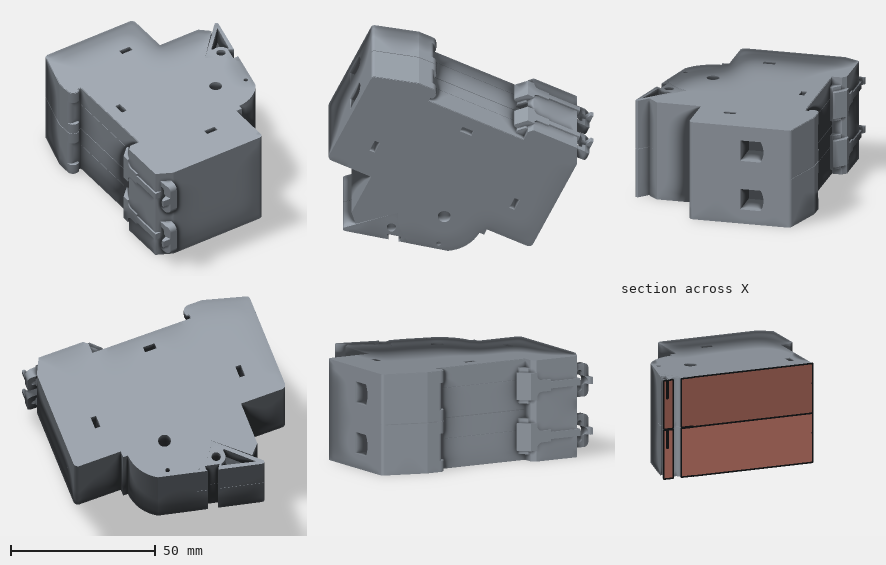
import cadquery as cq
import math

stack_height = 35.6
module_count = 2
module_height = stack_height / module_count
total_depth = 65.05
total_length = 82.2

base_length = 79.0
left_shoulder_y = 41.5
right_shoulder_y = 43.4
shoulder_fillet = 1.65
foot_y = 0.6
foot_slant_start_y = 5.0
foot_slant_end_x = 15.8
left_corner_fillet = 1.15
hook_center_x = 21.0
hook_radius = 2.2
hook_tip_x = hook_center_x + hook_radius
throat_x = 21.9
throat_bottom_y = 4.3
rail_y = 5.5
rail_end_x = 58.2
rail_chamfer = 1.5
right_slant_x = 76.2
right_slant_y = 6.25
rim_step = 0.2
rim_top_y = 5.9

pivot_x, pivot_y = 46.55, 45.1
drum_radius = 13.8
lever_clearance_radius = 16.0
neck_left_x = 16.9
neck_chamfer_y = 57.3
neck_peak = (20.1, 60.85)
drum_step_x = 62.1
drum_step_y = 45.7
drum_top_x = 53.5

lever_left_x = 17.0
lever_flat_end_x = 18.1
lever_heel_y = 64.1
lever_corner_x = 31.5
lever_recess = 0.1
lever_tip_fillet = 0.5
lever_notch_left_x = 33.0
lever_notch_right_x = 36.5
lever_notch_floor_left = (31.8, 59.9)
lever_notch_floor_right = (36.85, 58.8)
lever_notch_lip_y = 60.3
seal_hole_x, seal_hole_y = 31.9, 56.9
seal_boss_radius = 3.2
pocket_tip = (19.65, 63.5)
pocket_top_right = (31.3, 60.6)
pocket_bottom = (28.5, 55.1)
pocket_depth = 6.6

seal_hole_diameter = 3.2
pivot_hole_diameter = 4.4
pin_hole_diameter = 1.6
pin_hole_x, pin_hole_y = 49.4, 55.7
slot_length = 4.3
slot_width = 2.0
side_slot_y = 30.1
side_slot_xs = (12.8, 66.4)
rail_slot_x, rail_slot_y = 39.0, 10.85

terminal_width = 7.5
terminal_top_y = 23.0
terminal_arc_y = 15.8
terminal_bottom_y = 14.7
terminal_depth = 11.5

clip_z = 8.7
clip_head_width = 9.5
clip_tab_width = 12.4
clip_tip_x = 53.7
clip_tab_x = 55.2
clip_sole_x = 57.15
clip_head_end_x = 59.8
clip_tip_low_y, clip_tip_high_y = 3.45, 3.95
clip_back_y = 4.4
clip_top_y = 2.2
stem_root_width = 4.1
stem_root_end_x = 65.3
stem_blend = 1.9
stem_width = 2.5
stem_end_x = 77.2

handle_start_x = 76.65
handle_width = 11.5
handle_corner = 1.9
handle_slope_x = 80.1
handle_slope_y = 3.0
handle_slot_width = 2.0
handle_slot_length = 7.5
handle_hole_diameter = 3.2
handle_tooth_x = 81.3

seam_z = 10.6
seam_size = 0.2
hook_notch_fillet = 1.5


def prism(sketch, z_bottom, height):
    """Extrude a closed XY outline upward from z_bottom."""
    return sketch.close().extrude(height).translate((0, 0, z_bottom))


def block(x_range, y_range, z_range):
    """Axis-aligned box between the given limits."""
    sizes = [high - low for low, high in (x_range, y_range, z_range)]
    return cq.Workplane("XY").box(*sizes, centered=False).translate((x_range[0], y_range[0], z_range[0]))


def round_corner(body, x, y, radius):
    """Fillet the upright edge nearest to (x, y)."""
    corner = cq.selectors.NearestToPointSelector((x, y, module_height / 2))
    return body.edges("|Z").edges(corner).fillet(radius)


def on_circle(radius, angle):
    """Point on a circle around the lever pivot."""
    return (pivot_x + radius * math.cos(angle), pivot_y + radius * math.sin(angle))


def angle_at_x(radius, x):
    """Angle of the upper point of a pivot circle at the given x."""
    return math.acos((x - pivot_x) / radius)


drum_top_angle = angle_at_x(drum_radius, drum_top_x)
drum_top = on_circle(drum_radius, drum_top_angle)
top_slope = (drum_top[1] - total_depth) / (drum_top_x - lever_flat_end_x)


def top_edge(x):
    """Point on the straight sloping edge shared by the lever and the drum."""
    return (x, total_depth + top_slope * (x - lever_flat_end_x))


def lever_arc_top():
    """Angle and point where the lever clearance circle meets the sloping top edge."""
    height_above_pivot = top_edge(pivot_x)[1] - pivot_y
    tilt = math.atan(top_slope)
    normal_distance = height_above_pivot * math.cos(tilt)
    angle = math.pi / 2 + tilt + math.acos(normal_distance / lever_clearance_radius)
    return angle, on_circle(lever_clearance_radius, angle)


lever_top_angle, lever_top_point = lever_arc_top()
lever_corner_angle = angle_at_x(lever_clearance_radius, lever_corner_x)
lever_corner = on_circle(lever_clearance_radius, lever_corner_angle)
lever_arc_middle = on_circle(lever_clearance_radius, (lever_top_angle + lever_corner_angle) / 2)


def make_base():
    """Main block with the sloping foot, the rounded rail hook and the rail face."""
    hook_center_y = foot_y + hook_radius
    hook_end_x = hook_center_x + math.sqrt(hook_radius**2 - (throat_bottom_y - hook_center_y) ** 2)
    outline = (
        cq.Workplane("XY")
        .moveTo(0, left_shoulder_y)
        .lineTo(0, foot_slant_start_y)
        .lineTo(foot_slant_end_x, foot_y)
        .lineTo(hook_center_x, foot_y)
        .threePointArc((hook_tip_x, hook_center_y), (hook_end_x, throat_bottom_y))
        .lineTo(throat_x, throat_bottom_y)
        .lineTo(throat_x, rail_y)
        .lineTo(rail_end_x, rail_y)
        .lineTo(rail_end_x, foot_y + rail_chamfer)
        .lineTo(rail_end_x + rail_chamfer, foot_y)
        .lineTo(right_slant_x, foot_y)
        .lineTo(base_length, right_slant_y)
        .lineTo(base_length, right_shoulder_y)
        .lineTo(drum_step_x, right_shoulder_y)
        .lineTo(drum_step_x, left_shoulder_y)
    )
    base = prism(outline, 0, module_height)
    base = round_corner(base, 0, left_shoulder_y, shoulder_fillet)
    base = round_corner(base, base_length, right_shoulder_y, shoulder_fillet)
    return round_corner(base, 0, foot_slant_start_y, left_corner_fillet)


def step_rim(base):
    """Step back the rail-side edge of both end faces."""
    rim_zone = block((0, rail_end_x), (0, rim_top_y), (0, rim_step))
    inset = base.faces("<Z").wires().toPending().offset2D(-rim_step).extrude(module_height, combine=False)
    rim = base.intersect(rim_zone).cut(inset)
    return base.cut(rim).cut(rim.translate((0, 0, module_height - rim_step)))


def make_drum():
    """Neck and round drum that carry the lever, up to the lever clearance circle."""
    step_angle = math.asin((drum_step_y - pivot_y) / drum_radius)
    drum_end = on_circle(drum_radius, step_angle)
    drum_middle = on_circle(drum_radius, (drum_top_angle + step_angle) / 2)
    outline = (
        cq.Workplane("XY")
        .moveTo(neck_left_x, left_shoulder_y)
        .lineTo(neck_left_x, neck_chamfer_y)
        .lineTo(*neck_peak)
        .lineTo(*lever_corner)
        .threePointArc(lever_arc_middle, lever_top_point)
        .lineTo(*drum_top)
        .threePointArc(drum_middle, drum_end)
        .lineTo(drum_step_x, drum_step_y)
        .lineTo(drum_step_x, left_shoulder_y)
    )
    return prism(outline, 0, module_height)


def make_lever():
    """Lever head beyond the clearance circle, with a pocket beside the seal hole."""
    outline = (
        cq.Workplane("XY")
        .moveTo(lever_left_x, lever_heel_y)
        .lineTo(lever_left_x, total_depth)
        .lineTo(lever_flat_end_x, total_depth)
        .lineTo(*top_edge(lever_notch_left_x))
        .lineTo(*lever_notch_floor_left)
        .lineTo(*lever_notch_floor_right)
        .lineTo(lever_notch_floor_right[0], lever_notch_lip_y)
        .lineTo(*top_edge(lever_notch_right_x))
        .lineTo(*lever_top_point)
        .threePointArc(lever_arc_middle, lever_corner)
    )
    lever = prism(outline, lever_recess, module_height - 2 * lever_recess)
    lever = round_corner(lever, lever_left_x, total_depth, lever_tip_fillet)
    pocket_outline = cq.Workplane("XY").polyline([pocket_tip, pocket_top_right, pocket_bottom])
    pocket = prism(pocket_outline, module_height - pocket_depth, pocket_depth)
    boss = cq.Workplane("XY").center(seal_hole_x, seal_hole_y).circle(seal_boss_radius).extrude(module_height)
    return lever.cut(pocket.cut(boss))


def through_holes():
    """Round holes and assembly slots that pass through the whole module."""
    plane = cq.Workplane("XY")
    holes = cq.Workplane("XY")
    for x, y, diameter in (
        (seal_hole_x, seal_hole_y, seal_hole_diameter),
        (pivot_x, pivot_y, pivot_hole_diameter),
        (pin_hole_x, pin_hole_y, pin_hole_diameter),
    ):
        holes = holes.union(plane.center(x, y).circle(diameter / 2).extrude(module_height))
    for slot_x in side_slot_xs:
        slot = plane.center(slot_x, side_slot_y).rect(slot_width, slot_length).extrude(module_height)
        holes = holes.union(slot)
    rail_slot = plane.center(rail_slot_x, rail_slot_y).rect(slot_length, slot_width).extrude(module_height)
    return holes.union(rail_slot)


def terminal_opening():
    """Blind opening in the left wall, rounded on its rail side."""
    middle_z = module_height / 2
    low_z = middle_z - terminal_width / 2
    high_z = middle_z + terminal_width / 2
    return (
        cq.Workplane("YZ")
        .moveTo(terminal_arc_y, low_z)
        .lineTo(terminal_top_y, low_z)
        .lineTo(terminal_top_y, high_z)
        .lineTo(terminal_arc_y, high_z)
        .threePointArc((terminal_bottom_y, middle_z), (terminal_arc_y, low_z))
        .close()
        .extrude(terminal_depth)
    )


def hook_notch():
    """Clearance in the hook, opposite the clip head, with a rounded edge."""
    outline = (
        cq.Workplane("XY")
        .moveTo(throat_x - hook_notch_fillet, foot_y)
        .radiusArc((throat_x, foot_y + hook_notch_fillet), -hook_notch_fillet)
        .lineTo(throat_x, rail_y)
        .lineTo(hook_tip_x, rail_y)
        .lineTo(hook_tip_x, foot_y)
    )
    return prism(outline, clip_z - clip_head_width / 2, clip_head_width)


def rail_seam():
    """Fine groove along the rail face."""
    z_range = (seam_z - seam_size / 2, seam_z + seam_size / 2)
    return block((throat_x, rail_end_x), (rail_y, rail_y + seam_size), z_range)


def make_clip_head():
    """Sloping clip nose with a wider guide tab behind it."""
    head_outline = cq.Workplane("XY").polyline([
        (clip_tip_x, clip_tip_low_y),
        (clip_tip_x, clip_tip_high_y),
        (clip_tab_x, clip_back_y),
        (clip_head_end_x, clip_back_y),
        (clip_head_end_x, 0),
        (clip_sole_x, 0),
    ])
    tab_outline = cq.Workplane("XY").polyline([
        (clip_tab_x, rail_y),
        (clip_tab_x, clip_back_y),
        (clip_tab_x + clip_back_y - clip_top_y, clip_top_y),
        (rail_end_x, clip_top_y),
        (rail_end_x, rail_y),
    ])
    head = prism(head_outline, clip_z - clip_head_width / 2, clip_head_width)
    return head.union(prism(tab_outline, clip_z - clip_tab_width / 2, clip_tab_width))


def make_clip_stem():
    """Stem lying on the foot, blended into the head by two concave arcs."""
    half_root = stem_root_width / 2
    half_stem = stem_width / 2
    blend_end_x = clip_head_end_x + stem_blend
    blend_z = half_root + stem_blend
    stem = (
        cq.Workplane("XZ")
        .moveTo(clip_head_end_x, -blend_z)
        .radiusArc((blend_end_x, -half_root), stem_blend)
        .lineTo(stem_root_end_x, -half_root)
        .lineTo(stem_root_end_x, -half_stem)
        .lineTo(stem_end_x, -half_stem)
        .lineTo(stem_end_x, half_stem)
        .lineTo(stem_root_end_x, half_stem)
        .lineTo(stem_root_end_x, half_root)
        .lineTo(blend_end_x, half_root)
        .radiusArc((clip_head_end_x, blend_z), stem_blend)
        .close()
        .extrude(-clip_top_y)
    )
    return stem.translate((0, 0, clip_z))


def make_clip_handle():
    """Slotted pull bar with a tooth at its free end."""
    bar_outline = cq.Workplane("XY").polyline([
        (handle_start_x, rail_y),
        (handle_start_x, clip_top_y),
        (handle_slope_x, clip_top_y),
        (total_length, handle_slope_y),
        (total_length, rail_y),
    ])
    tooth_outline = cq.Workplane("XY").polyline([
        (handle_slope_x, clip_top_y),
        (handle_tooth_x, 0),
        (total_length, 0),
        (total_length, rail_y),
        (handle_slope_x, rail_y),
    ])
    bar = prism(bar_outline, clip_z - handle_width / 2, handle_width)
    bar = bar.faces(">X").edges("|Y").fillet(handle_corner)
    tooth = prism(tooth_outline, clip_z - stem_width / 2, stem_width)
    slot_right_x = stem_end_x + handle_slot_width
    slot = (
        cq.Workplane("XZ")
        .center(slot_right_x - handle_slot_width / 2, clip_z)
        .slot2D(handle_slot_length, handle_slot_width, 90)
        .extrude(-rail_y)
    )
    hole = cq.Workplane("XZ").center(slot_right_x, clip_z).circle(handle_hole_diameter / 2).extrude(-rail_y)
    return bar.union(tooth).cut(slot).cut(hole)


def make_module():
    """One pole: housing with its lever and rail clip, as a single solid."""
    module = step_rim(make_base()).union(make_drum()).union(make_lever())
    module = module.cut(through_holes()).cut(terminal_opening()).cut(hook_notch()).cut(rail_seam())
    return module.union(make_clip_head()).union(make_clip_stem()).union(make_clip_handle())


modules = []
for index in range(module_count):
    modules.append(make_module().translate((0, 0, index * module_height)))

result = cq.Compound.makeCompound([module.solids().val() for module in modules])